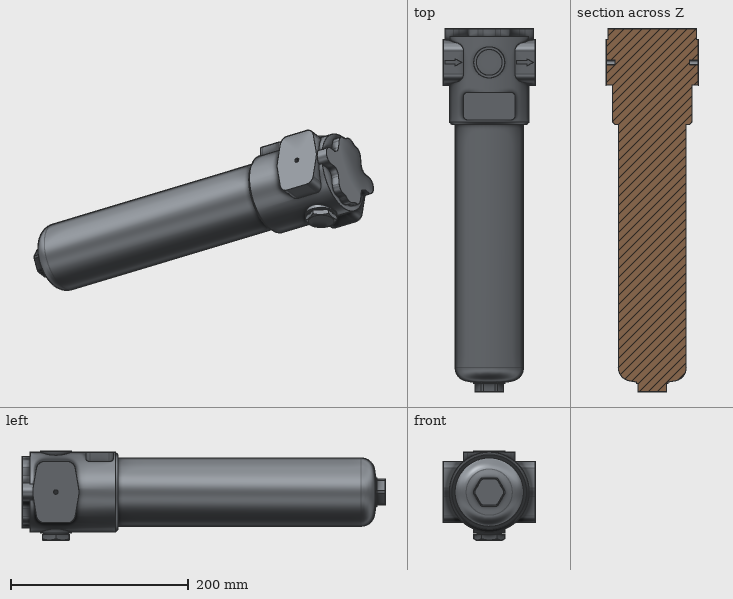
import cadquery as cq
import math


cap_end_y = 38
head_back_y = 29
head_front_y = -70
dome_start_y = -343.5
drain_end_y = -371

head_radius = 45
head_chamfer = 3
bowl_radius = 77 / 2
knuckle_radius = 15.5
crown_edge_radius = 26

drain_hex_flats = 29.5
drain_hex_trim_diameter = 32.4
drain_hex_length = 9.5
drain_collar_flats = 32
drain_collar_trim_diameter = 35.8

cap_half_height = 40.2
bump_radius = 12
valley_radius = 10
corner_radius = 10
corner_center_x = 12.8
wall_lean = 8.6
wall_length = 9.2
ear_reach = 50
ear_radius = 10
ear_end_y = 24

port_half_length = 52
port_half_height = 34.5
port_half_width_end = 20.5
port_half_width_middle = 26.4
port_corner_radius = 9
port_side_radius = 29
pin_hole_diameter = 5
pin_hole_depth = 10

arrow_length = 19
arrow_head_length = 7.5
arrow_head_half_width = 4
arrow_shaft_half_width = 2
arrow_depth = 0.5
arrow_center_x = 40.3

boss_diameter = 35
boss_half_height = 46
boss_recess_diameter = 29
boss_recess_depth = 1

plug_neck_diameter = 28
plug_hex_top_z = -47.8
plug_end_z = -54.3
plug_hex_flats = 30.5
plug_face_diameter = 29
plug_chamfer_angle = 30

pad_length_x = 58.5
pad_back_y = -33.7
pad_front_y = -64.8
pad_top_z = head_radius
pad_corner_radius = 5


def on_circle(center, radius, angle):
    """Point on a circle at an angle in degrees from the local x axis."""
    a = math.radians(angle)
    return (center[0] + radius * math.cos(a), center[1] + radius * math.sin(a))


def xz_plane(y):
    """Sketch plane across the filter axis; extrusion goes toward -Y."""
    return cq.Workplane("XZ", origin=(0, y, 0))


def hexagon_corner_diameter(flats):
    return flats / math.cos(math.radians(30))


def make_head_and_bowl():
    crown_slope = math.asin((crown_edge_radius - bowl_radius + knuckle_radius) / knuckle_radius)
    crown_radius = crown_edge_radius / math.sin(crown_slope)
    knuckle_center = (bowl_radius - knuckle_radius, dome_start_y)
    crown_center = (0, dome_start_y - knuckle_radius * math.cos(crown_slope)
                    + crown_radius * math.cos(crown_slope))
    slope = math.degrees(crown_slope)
    profile = (
        cq.Workplane("XY")
        .moveTo(0, head_back_y)
        .lineTo(head_radius, head_back_y)
        .lineTo(head_radius, head_front_y + head_chamfer)
        .lineTo(head_radius - head_chamfer, head_front_y)
        .lineTo(bowl_radius, head_front_y)
        .lineTo(bowl_radius, dome_start_y)
        .threePointArc(
            on_circle(knuckle_center, knuckle_radius, -45),
            on_circle(knuckle_center, knuckle_radius, slope - 90),
        )
        .threePointArc(
            on_circle(crown_center, crown_radius, slope / 2 - 90),
            on_circle(crown_center, crown_radius, -90),
        )
        .close()
    )
    return profile.revolve(360, (0, 0, 0), (0, 1, 0))


def trimmed_hexagon(start_y, length, flats, trim_diameter):
    """Hexagonal bar along -Y with its corners turned down to a diameter."""
    hexagon = xz_plane(start_y).polygon(6, hexagon_corner_diameter(flats)).extrude(length)
    return hexagon.intersect(xz_plane(start_y).circle(trim_diameter / 2).extrude(length))


def make_drain():
    hex_start_y = drain_end_y + drain_hex_length
    hexagon = trimmed_hexagon(hex_start_y, drain_hex_length, drain_hex_flats, drain_hex_trim_diameter)
    collar_length = dome_start_y - hex_start_y
    collar = trimmed_hexagon(dome_start_y, collar_length, drain_collar_flats, drain_collar_trim_diameter)
    return hexagon.union(collar)


def make_cap():
    """One quarter of the cap outline, mirrored twice, plus the two ears."""
    bump_center = (0, cap_half_height - bump_radius)
    bump_angle = math.degrees(math.asin(corner_center_x / (bump_radius + valley_radius)))
    valley_center = on_circle(bump_center, bump_radius + valley_radius, 90 - bump_angle)
    corner_center = (corner_center_x, valley_center[1] - valley_radius - corner_radius)
    wall_top = on_circle(corner_center, corner_radius, wall_lean)
    wall_bottom = on_circle(wall_top, wall_length, wall_lean - 90)
    rise = wall_bottom[1] - ear_radius
    root_radius = rise / (1 - math.sin(math.radians(wall_lean)))
    root_center = on_circle(wall_bottom, root_radius, wall_lean)
    root_mid_angle = (wall_lean + 180 + 270) / 2
    ear_center = (ear_reach - ear_radius, 0)
    quarter = (
        xz_plane(cap_end_y)
        .moveTo(0, 0)
        .lineTo(0, cap_half_height)
        .threePointArc(
            on_circle(bump_center, bump_radius, 90 - bump_angle / 2),
            on_circle(bump_center, bump_radius, 90 - bump_angle),
        )
        .threePointArc(
            on_circle(valley_center, valley_radius, 270 - bump_angle / 2),
            on_circle(valley_center, valley_radius, 270),
        )
        .threePointArc(on_circle(corner_center, corner_radius, (90 + wall_lean) / 2), wall_top)
        .lineTo(*wall_bottom)
        .threePointArc(
            on_circle(root_center, root_radius, root_mid_angle),
            on_circle(root_center, root_radius, 270),
        )
        .lineTo(ear_center[0], ear_radius)
        .threePointArc(on_circle(ear_center, ear_radius, 45), (ear_reach, 0))
        .close()
        .extrude(cap_end_y - head_back_y)
    )
    half = quarter.union(quarter.mirror("YZ"))
    ears = (
        xz_plane(cap_end_y)
        .slot2D(2 * ear_reach, 2 * ear_radius)
        .extrude(cap_end_y - ear_end_y)
    )
    return half.union(half.mirror("XY")).union(ears)


def make_port_block():
    upper = [
        (port_half_width_middle, 0),
        (port_half_width_end, port_half_height),
        (-port_half_width_end, port_half_height),
    ]
    lower = [(-y, -z) for y, z in upper]
    block = (
        cq.Workplane("YZ")
        .polyline(upper + lower)
        .close()
        .extrude(port_half_length, both=True)
    )
    middle_edges = cq.selectors.BoxSelector(
        (-port_half_length, -port_half_width_middle - 1, -1),
        (port_half_length, port_half_width_middle + 1, 1),
    )
    block = block.edges("|X").edges(">Z or <Z").fillet(port_corner_radius)
    return block.edges("|X").edges(middle_edges).fillet(port_side_radius)


def make_pin_hole(side):
    return (
        cq.Workplane("YZ", origin=(side * port_half_length, 0, 0))
        .circle(pin_hole_diameter / 2)
        .extrude(-side * pin_hole_depth)
    )


def make_arrow(center_x):
    tail_x = center_x - arrow_length / 2
    tip_x = center_x + arrow_length / 2
    neck_x = tip_x - arrow_head_length
    return (
        cq.Workplane("XY", origin=(0, 0, port_half_height - arrow_depth))
        .polyline([
            (tail_x, -arrow_shaft_half_width),
            (neck_x, -arrow_shaft_half_width),
            (neck_x, -arrow_head_half_width),
            (tip_x, 0),
            (neck_x, arrow_head_half_width),
            (neck_x, arrow_shaft_half_width),
            (tail_x, arrow_shaft_half_width),
        ])
        .close()
        .extrude(arrow_depth)
    )


def make_bosses():
    return cq.Workplane("XY").circle(boss_diameter / 2).extrude(boss_half_height, both=True)


def make_boss_recess():
    return (
        cq.Workplane("XY", origin=(0, 0, boss_half_height - boss_recess_depth))
        .circle(boss_recess_diameter / 2)
        .extrude(boss_recess_depth)
    )


def make_plug():
    hex_height = plug_hex_top_z - plug_end_z
    corner_diameter = hexagon_corner_diameter(plug_hex_flats)
    hexagon = (
        cq.Workplane("XY", origin=(0, 0, plug_end_z))
        .polygon(6, corner_diameter)
        .extrude(hex_height)
    )
    cone_height = (corner_diameter - plug_face_diameter) / 2 * math.tan(math.radians(plug_chamfer_angle))
    envelope = (
        cq.Workplane("XZ")
        .polyline([
            (0, plug_end_z),
            (plug_face_diameter / 2, plug_end_z),
            (corner_diameter / 2, plug_end_z + cone_height),
            (corner_diameter / 2, plug_hex_top_z),
            (0, plug_hex_top_z),
        ])
        .close()
        .revolve(360, (0, 0, 0), (0, 1, 0))
    )
    neck = (
        cq.Workplane("XY", origin=(0, 0, plug_hex_top_z))
        .circle(plug_neck_diameter / 2)
        .extrude(-plug_hex_top_z)
    )
    return hexagon.intersect(envelope).union(neck)


def make_pad():
    return (
        cq.Workplane("XY")
        .center(0, (pad_back_y + pad_front_y) / 2)
        .rect(pad_length_x, pad_back_y - pad_front_y)
        .extrude(pad_top_z)
        .edges("|Z")
        .fillet(pad_corner_radius)
    )


result = make_head_and_bowl()
for feature in (make_port_block(), make_cap(), make_drain(), make_bosses(), make_plug(), make_pad()):
    result = result.union(feature)

result = result.cut(make_boss_recess())
for side in (-1, 1):
    result = result.cut(make_pin_hole(side))
    result = result.cut(make_arrow(side * arrow_center_x))